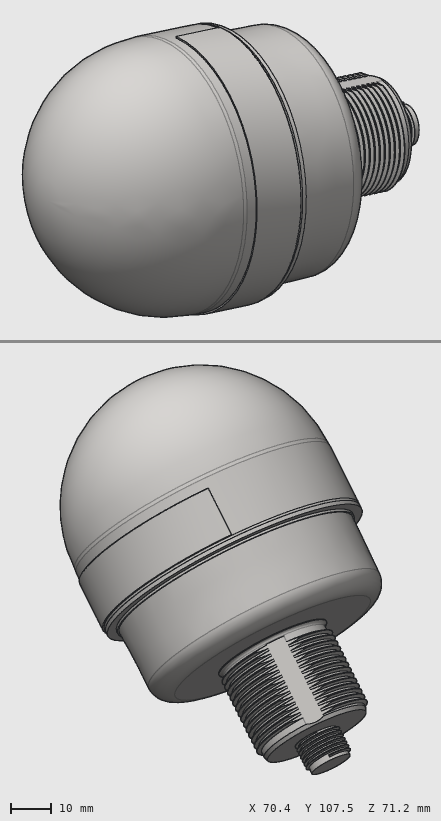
import cadquery as cq
import math


TOTAL_LENGTH = 107.5

LENS_RADIUS = 35.0
DOME_RADIUS = 34.9
BAND_LENGTH = 1.0
SKIRT_END = 16.9

RIB_X = -8.7
RIB_WIDTH = 1.6
RIB_START = 11.0
RIB_RADIUS = 36.0

LABEL_THICKNESS = 0.4
LABEL_START = 3.7
LABEL_END = 16.8

SEAL_THICKNESS = 0.6
FLANGE_START = SKIRT_END + SEAL_THICKNESS
FLANGE_END = 18.6
LIP_RADIUS = 32.6
LIP_END = 19.2

CUP_BASE_RADIUS = 32.1
CUP_TOP_RADIUS = 31.7
CUP_END = 39.8
SHOULDER_RADIUS = 4.9

TAB_WIDTH = 7.1
TAB_END = 21.2
TAB_RADIUS = 35.8
TAB_ROOT_RADIUS = 31.2

NECK_END = 64.6
NECK_CORE_RADIUS = 14.0
NECK_THREAD_RADIUS = 15.0
NECK_PITCH = 1.5
NECK_TURNS = 14
NECK_THREAD_START = 41.7
NECK_CHAMFER_RADIAL = 0.4
NECK_CHAMFER_LENGTH = 1.1
NECK_FOOT_HEIGHT = 0.2
NECK_FILLET = 0.9
FLAT_DISTANCE = 13.8
FLAT_START = 41.1

PLUG_END = TOTAL_LENGTH - DOME_RADIUS
PLUG_CORE_RADIUS = 5.3
PLUG_THREAD_RADIUS = 6.0
PLUG_PITCH = 1.0
PLUG_TURNS = 7
PLUG_THREAD_END = 71.5

THREAD_BASE_SHARE = 0.8
THREAD_CREST_SHARE = 0.12
THREAD_OVERLAP = 0.3


def turned(profile):
    """Solid of revolution about the Y axis from a (radius, y) profile."""
    return profile.close().revolve(360, (0, 0, 0), (0, 1, 0))


def disc(radius, start, end):
    """Cylinder on the Y axis between two Y positions."""
    return cq.Workplane("XZ", origin=(0, start, 0)).circle(radius).extrude(start - end)


def block(x_min, x_max, y_min, y_max, z_min, z_max):
    """Box between opposite corners."""
    return (
        cq.Workplane("XY")
        .box(x_max - x_min, y_max - y_min, z_max - z_min, centered=False)
        .translate((x_min, y_min, z_min))
    )


def thread_ridge(core_radius, crest_radius, pitch, turns, start):
    """Right-hand helical ridge on the Y axis; both of its ends lie on the +Z side."""
    inner = core_radius - THREAD_OVERLAP
    half_base = pitch * THREAD_BASE_SHARE / 2
    half_crest = pitch * THREAD_CREST_SHARE / 2
    path = cq.Workplane(obj=cq.Wire.makeHelix(pitch, pitch * turns, core_radius))
    ridge = (
        cq.Workplane("XZ")
        .moveTo(inner, -half_base)
        .lineTo(crest_radius, -half_crest)
        .lineTo(crest_radius, half_crest)
        .lineTo(inner, half_base)
        .close()
        .sweep(path, isFrenet=True)
    )
    ridge = ridge.rotate((0, 0, 0), (0, 0, 1), -90)
    ridge = ridge.rotate((0, 0, 0), (1, 0, 0), -90)
    return ridge.translate((0, start, 0))


def make_lens():
    body = turned(
        cq.Workplane("XY")
        .moveTo(0, -DOME_RADIUS)
        .threePointArc(
            (DOME_RADIUS * math.cos(math.pi / 4), -DOME_RADIUS * math.sin(math.pi / 4)),
            (DOME_RADIUS, 0),
        )
        .lineTo(LENS_RADIUS, BAND_LENGTH)
        .lineTo(LENS_RADIUS, SKIRT_END)
        .lineTo(0, SKIRT_END)
    )
    rib = block(
        RIB_X - RIB_WIDTH / 2, RIB_X + RIB_WIDTH / 2, RIB_START, LABEL_END, -RIB_RADIUS, 0
    ).intersect(disc(RIB_RADIUS, RIB_START, LABEL_END))
    return body.union(rib)


def make_label():
    outer = LENS_RADIUS + LABEL_THICKNESS
    sleeve = disc(outer, LABEL_START, LABEL_END).cut(disc(LENS_RADIUS, LABEL_START, LABEL_END))
    return sleeve.intersect(block(0, outer, LABEL_START, LABEL_END, -outer, outer))


def make_seal():
    return disc(LENS_RADIUS, SKIRT_END, FLANGE_START)


def make_cup():
    """Flange, lip and tapered cup, with the shoulder rounded."""
    cup = turned(
        cq.Workplane("XY")
        .moveTo(0, LIP_END)
        .lineTo(CUP_BASE_RADIUS, LIP_END)
        .lineTo(CUP_TOP_RADIUS, CUP_END)
        .lineTo(0, CUP_END)
    )
    cup = cup.faces(">Y").edges().fillet(SHOULDER_RADIUS)
    flange = disc(LENS_RADIUS, FLANGE_START, FLANGE_END)
    lip = disc(LIP_RADIUS, FLANGE_END, LIP_END)
    return cup.union(lip).union(flange)


def make_tab():
    half = TAB_WIDTH / 2
    return block(-half, half, FLANGE_START, TAB_END, -TAB_RADIUS, -TAB_ROOT_RADIUS).intersect(
        disc(TAB_RADIUS, FLANGE_START, TAB_END)
    )


def cut_flats(body):
    """Remove what stands beyond the two flats, on the +Z and -Z sides of the neck."""
    reach = 2 * NECK_THREAD_RADIUS
    upper = block(-reach, reach, FLAT_START, NECK_END, FLAT_DISTANCE, reach)
    lower = block(-reach, reach, FLAT_START, NECK_END, -reach, -FLAT_DISTANCE)
    return body.cut(upper).cut(lower)


def make_neck():
    """Chamfered core with a helical thread and two flats, flared at its foot."""
    foot_radius = NECK_CORE_RADIUS + NECK_FILLET
    foot_end = CUP_END + NECK_FOOT_HEIGHT
    core = turned(
        cq.Workplane("XY")
        .moveTo(0, CUP_END)
        .lineTo(foot_radius, CUP_END)
        .lineTo(foot_radius, foot_end)
        .radiusArc((NECK_CORE_RADIUS, foot_end + NECK_FILLET), NECK_FILLET)
        .lineTo(NECK_CORE_RADIUS, NECK_END - NECK_CHAMFER_LENGTH)
        .lineTo(NECK_CORE_RADIUS - NECK_CHAMFER_RADIAL, NECK_END)
        .lineTo(0, NECK_END)
    )
    ridge = thread_ridge(
        NECK_CORE_RADIUS, NECK_THREAD_RADIUS, NECK_PITCH, NECK_TURNS, NECK_THREAD_START
    )
    return cut_flats(core).union(cut_flats(ridge))


def make_housing():
    return make_cup().union(make_tab()).union(make_neck())


def make_plug():
    """Round plug whose thread runs out into the end face of the neck."""
    thread_start = PLUG_THREAD_END - PLUG_PITCH * PLUG_TURNS
    ridge = thread_ridge(
        PLUG_CORE_RADIUS, PLUG_THREAD_RADIUS, PLUG_PITCH, PLUG_TURNS, thread_start
    ).cut(disc(NECK_CORE_RADIUS, CUP_END, NECK_END))
    return disc(PLUG_CORE_RADIUS, NECK_END, PLUG_END).union(ridge)


lens = make_lens()
label = make_label()
seal = make_seal()
housing = make_housing()
plug = make_plug()

result = cq.Compound.makeCompound(
    [body.solids().val() for body in (lens, label, seal, housing, plug)]
)